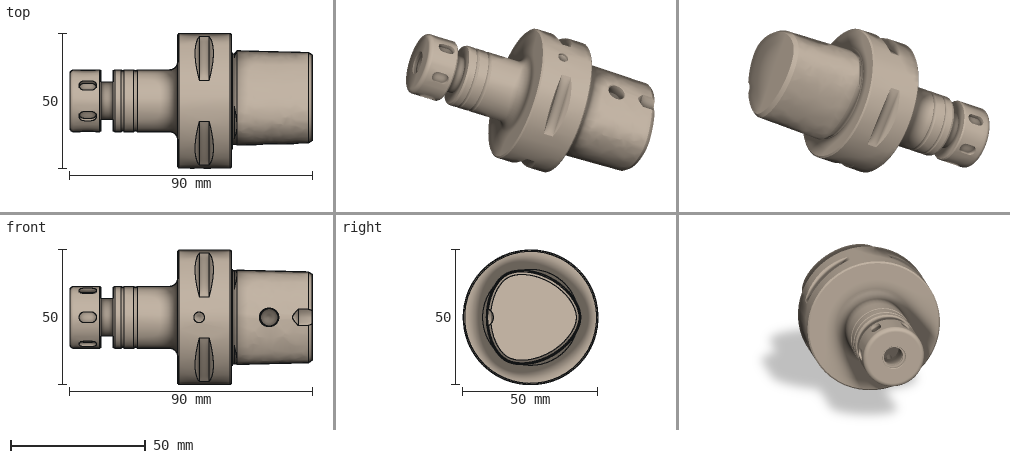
import cadquery as cq
import math

TOTAL_LENGTH = 90.0
NUT_END = 11.5
BODY_START = 16.0
FLANGE_START = 40.0
FLANGE_END = 60.0
TAPER_START = 62.1

NUT_DIAMETER = 23.0
NECK_DIAMETER = 14.0
FLANGE_DIAMETER = 50.0

NUT_FRONT_ROUND = 1.5
NUT_BACK_CHAMFER = 0.5
EDGE_DEPTH = 0.4
BODY_CHAMFER = 0.8
BODY_FILLET = 3.0
FLANGE_CHAMFER = 0.5

BODY_GROOVES = ((19.0, 20.2), (23.7, 25.1))
BODY_GROOVE_DEPTH = 0.4

BORE_ENTRY_DIAMETER = 8.8
BORE_ENTRY_INNER_DIAMETER = 8.5
BORE_ENTRY_DEPTH = 0.45
BORE_DIAMETER = 7.3
BORE_DEPTH = 10.8
BORE_GROOVE_DIAMETER = 9.7
FRONT_GROOVE_END = 1.5
REAR_GROOVE_START = 2.4
REAR_GROOVE_END = 3.1
COOLANT_DIAMETER = 2.0
COOLANT_OFFSET = 3.3
COOLANT_TILT = 35.0
COOLANT_DEPTH = 4.05

WRENCH_SLOT_COUNT = 6
WRENCH_SLOT_CENTER = 6.7
WRENCH_SLOT_LENGTH = 6.5
WRENCH_SLOT_WIDTH = 4.0
WRENCH_SLOT_DEPTH = 2.0

GRIPPER_SLOT_COUNT = 4
GRIPPER_SLOT_CENTER = 49.9
GRIPPER_FLOOR_WIDTH = 3.6
GRIPPER_FLOOR_RADIUS = 22.2
GRIPPER_FLANK_ANGLE = 30.0

LOBE_COUNT = 3
SHANK_RADIUS = 17.55
LOBE_HEIGHT = 1.1
TAPER_SLOPE = 1 / 40
RELIEF_INSET = 0.2
END_CHAMFER_LENGTH = 1.5
END_CHAMFER_DEPTH = 1.0
CURVE_POINT_COUNT = 72

SEAT_RADIUS = 17.8
SEAT_HEIGHT = 0.3
RELIEF_RADIUS = 17.5
RELIEF_FLANK_START = 61.0

DRILL_HALF_ANGLE = 59.0
FLANGE_HOLE_X = 48.0
FLANGE_HOLE_DIAMETER = 4.0
FLANGE_HOLE_DEPTH = 0.9
SHANK_HOLE_X = 74.0
SHANK_HOLE_DIAMETER = 6.5
SHANK_HOLE_MOUTH_DIAMETER = 7.3
SHANK_HOLE_DEPTH = 4.5
END_NOTCH_DIAMETER = 6.8
END_NOTCH_AXIS_HEIGHT = 1.4
END_NOTCH_START = 84.8
END_NOTCH_HALF_ANGLE = 45.0

X_AXIS = cq.Vector(1, 0, 0)
Y_AXIS = cq.Vector(0, 1, 0)


def revolve_about_x(sketch):
    return sketch.close().revolve(360, (0, 0, 0), (1, 0, 0))


def drill(radius, depth, start, direction, half_angle=DRILL_HALF_ANGLE):
    """Cylindrical hole of the given depth with a conical drill point beyond it."""
    hole = cq.Solid.makeCylinder(radius, depth, start, direction)
    tip_length = radius / math.tan(math.radians(half_angle))
    tip = cq.Solid.makeCone(radius, 0, tip_length, start + direction * depth, direction)
    return cq.Workplane(hole.fuse(tip))


def make_turned_front():
    """Nut, neck, body and flange, up to the back of the flange."""
    nut_radius = NUT_DIAMETER / 2
    neck_radius = NECK_DIAMETER / 2
    flange_radius = FLANGE_DIAMETER / 2
    round_offset = NUT_FRONT_ROUND * (1 - math.sqrt(0.5))
    fillet_offset = BODY_FILLET * (1 - math.sqrt(0.5))
    sketch = (
        cq.Workplane("XY")
        .lineTo(0, nut_radius - NUT_FRONT_ROUND)
        .threePointArc((round_offset, nut_radius - round_offset), (NUT_FRONT_ROUND, nut_radius))
        .lineTo(NUT_END - NUT_BACK_CHAMFER, nut_radius)
        .lineTo(NUT_END, nut_radius - EDGE_DEPTH)
        .lineTo(NUT_END, neck_radius)
        .lineTo(BODY_START, neck_radius)
        .lineTo(BODY_START, nut_radius - EDGE_DEPTH)
        .lineTo(BODY_START + BODY_CHAMFER, nut_radius)
    )
    for start, end in BODY_GROOVES:
        sketch = sketch.lineTo(start, nut_radius).threePointArc(
            ((start + end) / 2, nut_radius - BODY_GROOVE_DEPTH), (end, nut_radius)
        )
    sketch = (
        sketch.lineTo(FLANGE_START - BODY_FILLET, nut_radius)
        .threePointArc(
            (FLANGE_START - fillet_offset, nut_radius + fillet_offset),
            (FLANGE_START, nut_radius + BODY_FILLET),
        )
        .lineTo(FLANGE_START, flange_radius - FLANGE_CHAMFER)
        .lineTo(FLANGE_START + FLANGE_CHAMFER, flange_radius)
        .lineTo(FLANGE_END - FLANGE_CHAMFER, flange_radius)
        .lineTo(FLANGE_END, flange_radius - FLANGE_CHAMFER)
        .lineTo(FLANGE_END, 0)
    )
    return revolve_about_x(sketch)


def taper_radius(x):
    return SHANK_RADIUS - (x - TAPER_START) * TAPER_SLOPE


def lobed_wire(x, radius):
    """Closed three-lobed curve of constant width at station x."""
    points = []
    for i in range(CURVE_POINT_COUNT):
        angle = math.pi + 2 * math.pi * i / CURVE_POINT_COUNT
        support = radius + LOBE_HEIGHT * math.cos(LOBE_COUNT * angle)
        slope = -LOBE_COUNT * LOBE_HEIGHT * math.sin(LOBE_COUNT * angle)
        y = support * math.cos(angle) - slope * math.sin(angle)
        z = support * math.sin(angle) + slope * math.cos(angle)
        points.append(cq.Vector(x, y, z))
    return cq.Wire.assembleEdges([cq.Edge.makeSpline(points, periodic=True)])


def lobed_loft(x_start, radius_start, x_end, radius_end):
    wires = [lobed_wire(x_start, radius_start), lobed_wire(x_end, radius_end)]
    return cq.Workplane(cq.Solid.makeLoft(wires, True))


def make_relief():
    """Inset shank root, grooved where the lobes stand proud, with the seat ring."""
    inset_radius = taper_radius(TAPER_START) - RELIEF_INSET
    root = lobed_loft(FLANGE_END, inset_radius, TAPER_START, inset_radius)
    flank_height = TAPER_START - RELIEF_FLANK_START
    envelope = revolve_about_x(
        cq.Workplane("XY")
        .moveTo(FLANGE_END, 0)
        .lineTo(FLANGE_END, RELIEF_RADIUS)
        .lineTo(RELIEF_FLANK_START, RELIEF_RADIUS)
        .lineTo(TAPER_START, RELIEF_RADIUS + flank_height)
        .lineTo(TAPER_START, 0)
    )
    seat = cq.Workplane("YZ", origin=(FLANGE_END, 0, 0)).circle(SEAT_RADIUS).extrude(SEAT_HEIGHT)
    return root.intersect(envelope).union(seat)


def make_shank():
    chamfer_start = TOTAL_LENGTH - END_CHAMFER_LENGTH
    chamfer_radius = taper_radius(chamfer_start)
    taper = lobed_loft(TAPER_START, taper_radius(TAPER_START), chamfer_start, chamfer_radius)
    end = lobed_loft(chamfer_start, chamfer_radius, TOTAL_LENGTH, chamfer_radius - END_CHAMFER_DEPTH)
    return make_relief().union(taper).union(end)


def make_bore():
    """Stepped bore in the nut face with two inner grooves and two converging coolant holes."""
    bore_radius = BORE_DIAMETER / 2
    groove_radius = BORE_GROOVE_DIAMETER / 2
    bore = revolve_about_x(
        cq.Workplane("XY")
        .lineTo(0, BORE_ENTRY_DIAMETER / 2)
        .lineTo(BORE_ENTRY_DEPTH, BORE_ENTRY_INNER_DIAMETER / 2)
        .lineTo(BORE_ENTRY_DEPTH, groove_radius)
        .lineTo(FRONT_GROOVE_END, groove_radius)
        .lineTo(FRONT_GROOVE_END, bore_radius)
        .lineTo(REAR_GROOVE_START, bore_radius)
        .lineTo(REAR_GROOVE_START, groove_radius)
        .lineTo(REAR_GROOVE_END, groove_radius)
        .lineTo(REAR_GROOVE_END, bore_radius)
        .lineTo(BORE_DEPTH, bore_radius)
        .lineTo(BORE_DEPTH, 0)
    )
    coolant_radius = COOLANT_DIAMETER / 2
    tilt = math.radians(COOLANT_TILT)
    overlap = coolant_radius * math.tan(tilt)
    for side in (1, -1):
        direction = cq.Vector(math.cos(tilt), 0, -side * math.sin(tilt))
        start = cq.Vector(BORE_DEPTH, 0, side * COOLANT_OFFSET) - direction * overlap
        hole = cq.Solid.makeCylinder(coolant_radius, overlap + COOLANT_DEPTH, start, direction)
        bore = bore.union(cq.Workplane(hole))
    return bore


def make_wrench_slots():
    floor_radius = NUT_DIAMETER / 2 - WRENCH_SLOT_DEPTH
    slot = (
        cq.Workplane("XZ", origin=(WRENCH_SLOT_CENTER, -floor_radius, 0))
        .slot2D(WRENCH_SLOT_LENGTH, WRENCH_SLOT_WIDTH)
        .extrude(2 * WRENCH_SLOT_DEPTH)
    )
    return repeat_around_x(slot, WRENCH_SLOT_COUNT, 0)


def make_gripper_slots():
    """Straight trapezoidal slots whose flanks open outward."""
    height = FLANGE_DIAMETER / 2 - GRIPPER_FLOOR_RADIUS
    half_floor = GRIPPER_FLOOR_WIDTH / 2
    half_mouth = half_floor + height * math.tan(math.radians(GRIPPER_FLANK_ANGLE))
    slot = (
        cq.Workplane("XZ", origin=(GRIPPER_SLOT_CENTER, 0, GRIPPER_FLOOR_RADIUS))
        .moveTo(-half_floor, 0)
        .lineTo(half_floor, 0)
        .lineTo(half_mouth, height)
        .lineTo(-half_mouth, height)
        .close()
        .extrude(FLANGE_DIAMETER / 2, both=True)
    )
    return repeat_around_x(slot, GRIPPER_SLOT_COUNT, 180 / GRIPPER_SLOT_COUNT)


def repeat_around_x(tool, count, first_angle):
    tools = cq.Workplane()
    for i in range(count):
        tools = tools.add(tool.rotate((0, 0, 0), (1, 0, 0), first_angle + 360 * i / count))
    return tools.combine()


def make_flange_hole():
    start = cq.Vector(FLANGE_HOLE_X, -FLANGE_DIAMETER / 2, 0)
    return drill(FLANGE_HOLE_DIAMETER / 2, FLANGE_HOLE_DEPTH, start, Y_AXIS)


def shank_side(x):
    """Y position of the shank surface on the -Y side."""
    return LOBE_HEIGHT - taper_radius(x)


def make_shank_hole():
    """Drilled hole with a countersunk mouth."""
    radius = SHANK_HOLE_DIAMETER / 2
    mouth_radius = SHANK_HOLE_MOUTH_DIAMETER / 2
    start = cq.Vector(SHANK_HOLE_X, shank_side(SHANK_HOLE_X), 0)
    mouth = cq.Solid.makeCone(mouth_radius, radius, mouth_radius - radius, start, Y_AXIS)
    clearance = cq.Solid.makeCylinder(mouth_radius, mouth_radius, start, -Y_AXIS)
    return drill(radius, SHANK_HOLE_DEPTH, start, Y_AXIS).union(cq.Workplane(mouth.fuse(clearance)))


def make_end_notch():
    """Shallow drilled notch along the shank, its axis just outside the surface."""
    start = cq.Vector(TOTAL_LENGTH, shank_side(TOTAL_LENGTH) - END_NOTCH_AXIS_HEIGHT, 0)
    depth = TOTAL_LENGTH - END_NOTCH_START
    return drill(END_NOTCH_DIAMETER / 2, depth, start, -X_AXIS, END_NOTCH_HALF_ANGLE)


result = (
    make_turned_front()
    .union(make_shank())
    .cut(make_bore())
    .cut(make_wrench_slots())
    .cut(make_gripper_slots())
    .cut(make_flange_hole())
    .cut(make_shank_hole())
    .cut(make_end_notch())
)